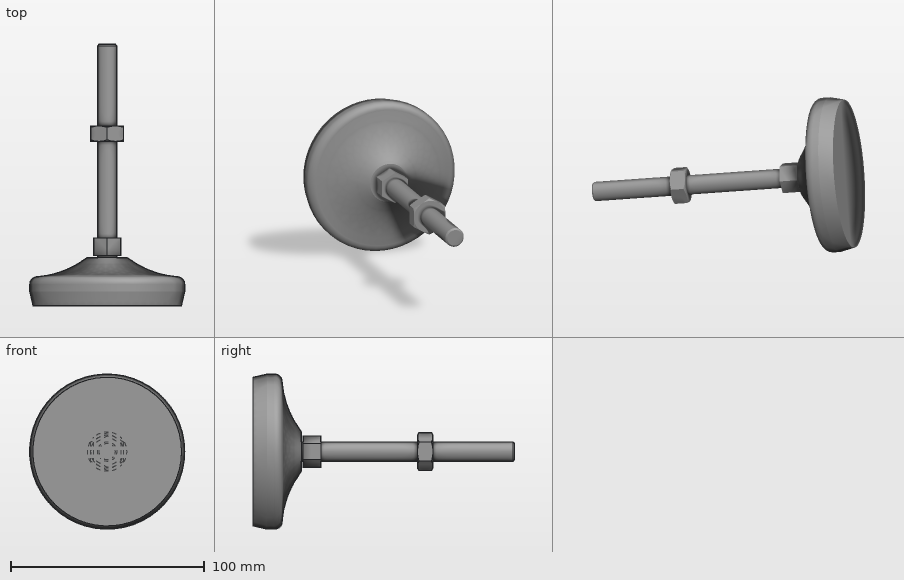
import cadquery as cq
import math

total_length = 135.0

foot_radius = 80.0 / 2
sole_radius = 38.3
taper_top = 7.4
rim_top = 11.1
shoulder_fillet = 4.0
slope_middle_radius = 23.0
slope_middle_height = 18.0
crown_radius = 11.5
crown_height = 24.2
crown_top_radius = 10.1
foot_height = 25.0

rod_radius = 10.0 / 2
rod_chamfer = 0.8

collar_across_flats = 14.0
collar_bottom = 25.9
collar_height = 9.2
nut_across_flats = 17.0
nut_bottom = 84.9
nut_height = 8.0
nut_chamfer_angle = 30.0
hexagon_half_angle = math.radians(30)


def make_foot():
    """Revolved foot with a tapered skirt, rounded shoulder and concave slope."""
    shoulder_radius = foot_radius - shoulder_fillet
    shoulder_height = rim_top + shoulder_fillet
    arc_radial = shoulder_radius + shoulder_fillet * math.sqrt(0.5)
    arc_height = rim_top + shoulder_fillet * math.sqrt(0.5)
    return (
        cq.Workplane("XY")
        .lineTo(sole_radius, 0)
        .lineTo(foot_radius, taper_top)
        .lineTo(foot_radius, rim_top)
        .threePointArc((arc_radial, arc_height), (shoulder_radius, shoulder_height))
        .threePointArc((slope_middle_radius, slope_middle_height), (crown_radius, crown_height))
        .lineTo(crown_top_radius, foot_height)
        .lineTo(0, foot_height)
        .close()
        .revolve(360, (0, 0, 0), (0, 1, 0))
    )


def make_rod():
    """Spindle standing on the foot, chamfered at its free end."""
    return (
        cq.Workplane("XZ", origin=(0, foot_height, 0))
        .circle(rod_radius)
        .extrude(foot_height - total_length)
        .faces(">Y")
        .chamfer(rod_chamfer)
    )


def make_hexagon(across_flats, bottom, height):
    """Hexagonal prism along Y with corners pointing to +Z and -Z."""
    corner_diameter = across_flats / math.cos(hexagon_half_angle)
    return (
        cq.Workplane("XZ", origin=(0, bottom, 0))
        .transformed(rotate=(0, 0, 90))
        .polygon(6, corner_diameter)
        .extrude(-height)
    )


def make_nut():
    """Lock nut whose corners are cut back by a cone at both ends."""
    flat_radius = nut_across_flats / 2
    corner_radius = flat_radius / math.cos(hexagon_half_angle)
    drop = (corner_radius - flat_radius) * math.tan(math.radians(nut_chamfer_angle))
    nut_top = nut_bottom + nut_height
    envelope = (
        cq.Workplane("XY")
        .moveTo(0, nut_bottom)
        .lineTo(flat_radius, nut_bottom)
        .lineTo(corner_radius, nut_bottom + drop)
        .lineTo(corner_radius, nut_top - drop)
        .lineTo(flat_radius, nut_top)
        .lineTo(0, nut_top)
        .close()
        .revolve(360, (0, 0, 0), (0, 1, 0))
    )
    return make_hexagon(nut_across_flats, nut_bottom, nut_height).intersect(envelope)


collar = make_hexagon(collar_across_flats, collar_bottom, collar_height)
result = make_foot().union(make_rod()).union(collar).union(make_nut())